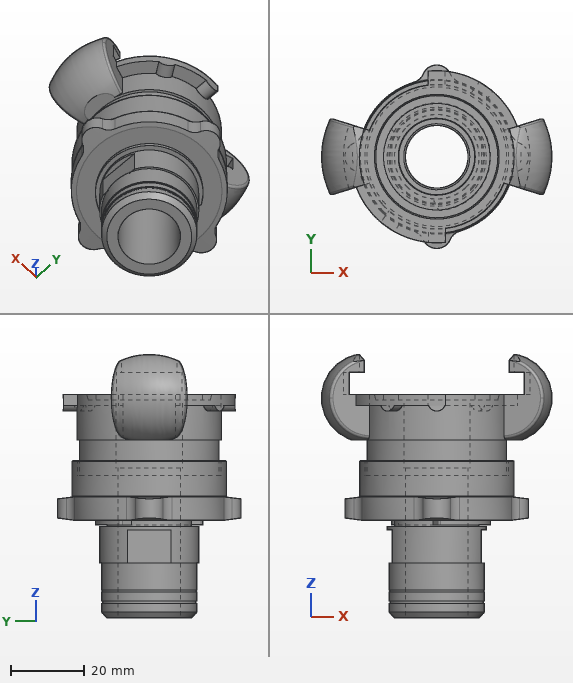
import math

import cadquery as cq

overall_height = 71.74
tail_chamfer_height = 1.6
flats_bottom = 15.0
flats_top = 24.0
collar_top = 24.95
clip_bottom = 25.35
nut_bottom = 26.5
nut_top = 32.9
sleeve_top = 42.85
head_bottom = 48.4
rim_top = 60.85
rim_thickness = 3.0
seat_depth = 1.5

tail_diameter = 26.0
tail_tip_diameter = 23.1
collar_diameter = 27.0
clip_neck_diameter = 23.0
nut_diameter = 42.5
sleeve_diameter = 42.1
neck_diameter = 38.0
head_diameter = 39.4
sleeve_chamfer = 0.25
sleeve_mouth_diameter = 39.2
sleeve_mouth_depth = 4.0

groove_bottoms = (4.0, 7.1)
groove_widths = (0.6, 0.5)
groove_diameters = (25.4, 25.7)
flats_distance = 24.25

bore_diameter = 17.0
liner_bore_diameter = 18.0
counterbore_diameter = 20.7
counterbore_mouth_diameter = 21.0
seal_ring_diameter = 29.0
seal_groove_diameter = 33.25
seal_groove_mouth_diameter = 34.0
liner_bore_length = 20.0

clip_outer_diameter = 29.3
clip_middle_angle = 30.0
clip_outer_half_angle = 118.0
clip_inner_half_angle = 125.0
clip_corner_fillet = 0.8

lobe_count = 4
lobe_reach = 25.0
lobe_radius = 4.0
lobe_blend_radius = 4.0
lobe_top_fall = 0.45
lobe_bottom_rise = 0.7
lobe_bottom_taper_start = 19.8

rim_radius = 23.45
lug_overhang = 2.4
rib_radius = lug_overhang
rib_depth = 2.1
rib_angles = (0.0, 35.0)

overall_width = 62.87
claw_inner_x = 15.0
claw_barrel_radius = 12.05
claw_axis_height = 59.9
claw_crown_radius = 23.0
claw_tip_radius = 19.0
claw_side_angle = 17.5
claw_side_offset = 1.4
claw_edge_fillet = 0.8
claw_notch_radius = 25.4
claw_lip_radius = 21.1
claw_lip_bottom = 66.85


def cylinder(diameter, bottom, top):
    return cq.Workplane("XY").workplane(offset=bottom).circle(diameter / 2).extrude(top - bottom)


def cone(bottom_diameter, top_diameter, bottom, top):
    outline = [
        (0, bottom),
        (bottom_diameter / 2, bottom),
        (top_diameter / 2, top),
        (0, top),
    ]
    return cq.Workplane("XZ").polyline(outline).close().revolve(360, (0, 0), (0, 1))


def half_turn(shape):
    return shape.rotate((0, 0, 0), (0, 0, 1), 180)


def make_tail():
    tail = cone(tail_tip_diameter, tail_diameter, 0, tail_chamfer_height)
    tail = tail.union(cylinder(tail_diameter, tail_chamfer_height, flats_bottom))
    for bottom, width, diameter in zip(groove_bottoms, groove_widths, groove_diameters):
        ring = cylinder(tail_diameter, bottom, bottom + width)
        tail = tail.cut(ring.cut(cylinder(diameter, bottom, bottom + width)))
    flats_height = flats_top - flats_bottom
    flats_block = cq.Workplane("XY").workplane(offset=flats_bottom)
    flats_block = flats_block.rect(flats_distance, collar_diameter).extrude(flats_height)
    tail = tail.union(cylinder(collar_diameter, flats_bottom, flats_top).intersect(flats_block))
    tail = tail.union(cylinder(collar_diameter, flats_top, collar_top))
    return tail.union(cylinder(clip_neck_diameter, collar_top, nut_bottom))


def make_clip():
    """Open ring whose two ends lean towards each other and have rounded outer corners."""

    def ring_point(diameter, offset_angle):
        turn = math.radians(clip_middle_angle + offset_angle)
        return (diameter / 2 * math.cos(turn), diameter / 2 * math.sin(turn))

    clip = (
        cq.Workplane("XY")
        .workplane(offset=clip_bottom)
        .lineTo(*ring_point(clip_neck_diameter, -clip_inner_half_angle))
        .lineTo(*ring_point(clip_outer_diameter, -clip_outer_half_angle))
        .threePointArc(
            ring_point(clip_outer_diameter, 0),
            ring_point(clip_outer_diameter, clip_outer_half_angle),
        )
        .lineTo(*ring_point(clip_neck_diameter, clip_inner_half_angle))
        .close()
        .extrude(nut_bottom - clip_bottom)
    )

    def is_outer_corner(edge):
        centre = edge.Center()
        return math.hypot(centre.x, centre.y) > (clip_neck_diameter + clip_outer_diameter) / 4

    return clip.edges("|Z").filter(is_outer_corner).fillet(clip_corner_fillet)


def make_nut():
    height = nut_top - nut_bottom
    nut_radius = nut_diameter / 2
    nut = cylinder(nut_diameter, nut_bottom, nut_top)

    lobe_centre = lobe_reach - lobe_radius
    blend_centre = nut_radius + lobe_blend_radius
    arcs_apart = lobe_radius + lobe_blend_radius
    blend_cos = (lobe_centre**2 + blend_centre**2 - arcs_apart**2) / (2 * lobe_centre * blend_centre)
    blend_angle = math.acos(blend_cos)
    blend_x = blend_centre * math.sin(blend_angle)
    blend_y = blend_centre * math.cos(blend_angle)
    foot = (nut_radius * math.sin(blend_angle), nut_radius * math.cos(blend_angle))
    share = lobe_radius / arcs_apart
    shoulder = (share * blend_x, lobe_centre + share * (blend_y - lobe_centre))

    middle_x = (foot[0] + shoulder[0]) / 2 - blend_x
    middle_y = (foot[1] + shoulder[1]) / 2 - blend_y
    pull = lobe_blend_radius / math.hypot(middle_x, middle_y)
    hollow = (blend_x + pull * middle_x, blend_y + pull * middle_y)

    lobe = (
        cq.Workplane("XY")
        .workplane(offset=nut_bottom)
        .moveTo(0, 0)
        .lineTo(*foot)
        .threePointArc(hollow, shoulder)
        .threePointArc((0, lobe_reach), (-shoulder[0], shoulder[1]))
        .threePointArc((-hollow[0], hollow[1]), (-foot[0], foot[1]))
        .close()
        .extrude(height)
    )
    for index in range(lobe_count):
        nut = nut.union(lobe.rotate((0, 0, 0), (0, 0, 1), index * 360 / lobe_count))

    taper = [
        (0, nut_bottom),
        (lobe_bottom_taper_start, nut_bottom),
        (lobe_reach, nut_bottom + lobe_bottom_rise),
        (lobe_reach, nut_top - lobe_top_fall),
        (nut_radius, nut_top),
        (0, nut_top),
    ]
    tapered = cq.Workplane("XZ").polyline(taper).close().revolve(360, (0, 0), (0, 1))
    return nut.intersect(tapered)


def make_head():
    sleeve = cylinder(sleeve_diameter, nut_top, sleeve_top).edges().chamfer(sleeve_chamfer)
    sleeve = sleeve.cut(cylinder(sleeve_mouth_diameter, sleeve_top - sleeve_mouth_depth, sleeve_top))
    head = sleeve.union(cylinder(neck_diameter, nut_top, head_bottom))
    return head.union(cylinder(head_diameter, head_bottom, rim_top))


def make_lug():
    """Quarter rim on the -X -Y side, running from under the claw to just past the Y axis."""
    bottom = rim_top - rim_thickness
    side = 2 * rim_radius
    lug = cq.Workplane("XY").workplane(offset=bottom).center(lug_overhang, 0)
    lug = lug.rect(-side, -side, centered=False).extrude(rim_thickness)
    for angle in rib_angles:
        rib = cq.Workplane("XZ").center(0, rim_top - rib_depth).circle(rib_radius).extrude(side)
        lug = lug.union(rib.rotate((0, 0, 0), (0, 0, 1), -angle))
    return lug.intersect(cylinder(2 * rim_radius, head_bottom, rim_top))


def make_claw():
    """Hooked claw on the -X side: a crowned barrel about a Y axis, cut to a wedge in plan."""
    outer_x = overall_width / 2
    axis_x = outer_x - claw_barrel_radius
    half_length = claw_barrel_radius
    crown_drop = claw_crown_radius - math.sqrt(claw_crown_radius**2 - half_length**2)
    end_radius = claw_barrel_radius - crown_drop
    barrel = (
        cq.Workplane("XY")
        .moveTo(-axis_x, -half_length)
        .lineTo(-axis_x - end_radius, -half_length)
        .threePointArc((-outer_x, 0), (-axis_x - end_radius, half_length))
        .lineTo(-axis_x, half_length)
        .close()
        .revolve(360, (-axis_x, 0), (-axis_x, 1))
        .translate((0, 0, claw_axis_height))
    )

    slope = math.tan(math.radians(claw_side_angle))
    inner_half = claw_side_offset + slope * claw_inner_x
    outer_half = claw_side_offset + slope * outer_x
    wedge = [
        (-claw_inner_x, -inner_half),
        (-outer_x, -outer_half),
        (-outer_x, outer_half),
        (-claw_inner_x, inner_half),
    ]
    wedge_height = overall_height - head_bottom
    claw = cq.Workplane("XY").workplane(offset=head_bottom).polyline(wedge).close().extrude(wedge_height)
    claw = claw.intersect(barrel)

    def is_side_edge(edge):
        return edge.geomType() != "LINE" and abs(edge.Center().y) > inner_half

    claw = claw.edges().filter(is_side_edge).fillet(claw_edge_fillet)

    tip_cap = cq.Workplane("YZ").center(0, overall_height - claw_tip_radius).circle(claw_tip_radius)
    claw = claw.intersect(tip_cap.extrude(-outer_x))
    claw = claw.cut(cylinder(2 * claw_notch_radius, rim_top, claw_lip_bottom))
    return claw.cut(cylinder(2 * claw_lip_radius, claw_lip_bottom, overall_height))


def cut_bore(body):
    seat = rim_top - seat_depth
    groove = cone(seal_groove_diameter, seal_groove_mouth_diameter, seat, rim_top)
    body = body.cut(groove.cut(cylinder(seal_ring_diameter, seat, rim_top)))
    body = body.cut(cone(counterbore_diameter, counterbore_mouth_diameter, seat, rim_top))
    body = body.cut(cylinder(liner_bore_diameter, rim_top - liner_bore_length, rim_top))
    return body.cut(cylinder(bore_diameter, 0, rim_top))


lug = make_lug()
claw = make_claw()
body = make_tail().union(make_clip()).union(make_nut()).union(make_head())
body = body.union(lug).union(half_turn(lug))
body = body.union(claw).union(half_turn(claw))
result = cut_bore(body)